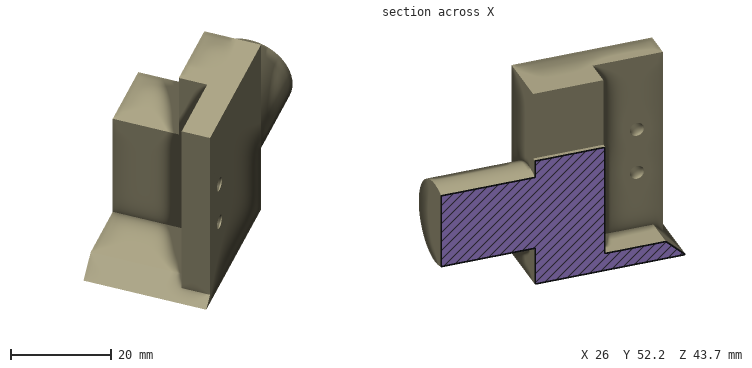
import cadquery as cq

total_length = 52.25
width = 26.0
height = 43.7

shank_length = 20.0
shank_diameter = 18.0
shank_x = 16.5
shank_z = 16.6

block_depth = 15.0
column_width = 12.0
step_drop = 15.0

plate_thickness = 6.0
plate_depth = 2 * block_depth

base_depth = total_length - shank_length
base_thickness = 4.0
bevel_depth = 4.3

hole_diameter = 3.0
hole_setback = 5.55
lower_hole_z = 16.9
hole_spacing = 10.0


def box_at_right(box_width, depth, box_height):
    """Box flush with the right side, the back face and the bottom."""
    return cq.Workplane("XY").box(box_width, depth, box_height, centered=False).translate(
        (width - box_width, -depth, 0)
    )


def bevelled_base():
    """Full-width base whose front slopes out to a sharp bottom edge."""
    return (
        cq.Workplane("YZ")
        .moveTo(0, 0)
        .lineTo(-base_depth, 0)
        .lineTo(-base_depth + bevel_depth, base_thickness)
        .lineTo(0, base_thickness)
        .close()
        .extrude(width)
    )


def shank():
    """Cylinder extending backward from the body."""
    return (
        cq.Workplane("XZ")
        .center(shank_x, shank_z)
        .circle(shank_diameter / 2)
        .extrude(-shank_length)
    )


def plate_holes():
    """Two cutters passing through the side plate along X."""
    hole_y = -plate_depth + hole_setback
    return (
        cq.Workplane("YZ")
        .pushPoints([(hole_y, lower_hole_z), (hole_y, lower_hole_z + hole_spacing)])
        .circle(hole_diameter / 2)
        .extrude(width)
    )


block = box_at_right(width, block_depth, height - step_drop)
column = box_at_right(column_width, block_depth, height)
plate = box_at_right(plate_thickness, plate_depth, height)

body = block.union(column).union(plate).union(bevelled_base())
result = body.union(shank()).cut(plate_holes())